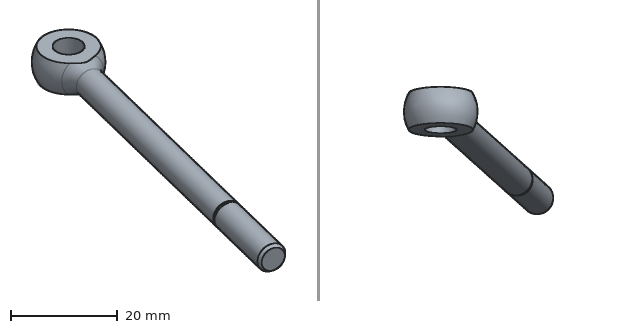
import cadquery as cq
import math

length = 87.0
eye_radius = 7.0
eye_thickness = 7.0
bore_diameter = 6.0
shank_diameter = 6.0
neck_fillet = 4.0
thread_length = 18.0
thread_relief = 0.5
end_chamfer_length = 0.7
end_chamfer_depth = 0.5

shank_radius = shank_diameter / 2
shank_end = length - eye_radius
thread_start = shank_end - thread_length

arc_centre_y = shank_radius + neck_fillet
centre_distance = eye_radius + neck_fillet
neck_end = math.sqrt(centre_distance**2 - arc_centre_y**2)
tangent_ratio = eye_radius / centre_distance
neck_start = (neck_end * tangent_ratio, arc_centre_y * tangent_ratio)

start_angle = math.atan2(-arc_centre_y, -neck_end)
middle_angle = (start_angle - math.pi / 2) / 2
neck_middle = (
    neck_end + neck_fillet * math.cos(middle_angle),
    arc_centre_y + neck_fillet * math.sin(middle_angle),
)


def turned_blank():
    """Ball, neck and shank revolved about X, with a stepped relief at the thread start."""
    profile = (
        cq.Workplane("XY")
        .moveTo(-eye_radius, 0)
        .threePointArc((0, eye_radius), neck_start)
        .threePointArc(neck_middle, (neck_end, shank_radius))
        .lineTo(thread_start, shank_radius)
        .lineTo(thread_start, shank_radius - thread_relief)
        .lineTo(thread_start + thread_relief, shank_radius)
        .lineTo(shank_end - end_chamfer_length, shank_radius)
        .lineTo(shank_end, shank_radius - end_chamfer_depth)
        .lineTo(shank_end, 0)
        .close()
    )
    return profile.revolve(360, (0, 0, 0), (1, 0, 0))


def flatten_eye(blank):
    """Keep only the material between the two parallel faces of the eye."""
    slab = cq.Workplane("XY").box(2 * length, 2 * length, eye_thickness)
    return blank.intersect(slab)


def bore_eye(body):
    """Drill the pin hole through the eye."""
    bore = cq.Workplane("XY").circle(bore_diameter / 2).extrude(eye_thickness, both=True)
    return body.cut(bore)


result = bore_eye(flatten_eye(turned_blank()))